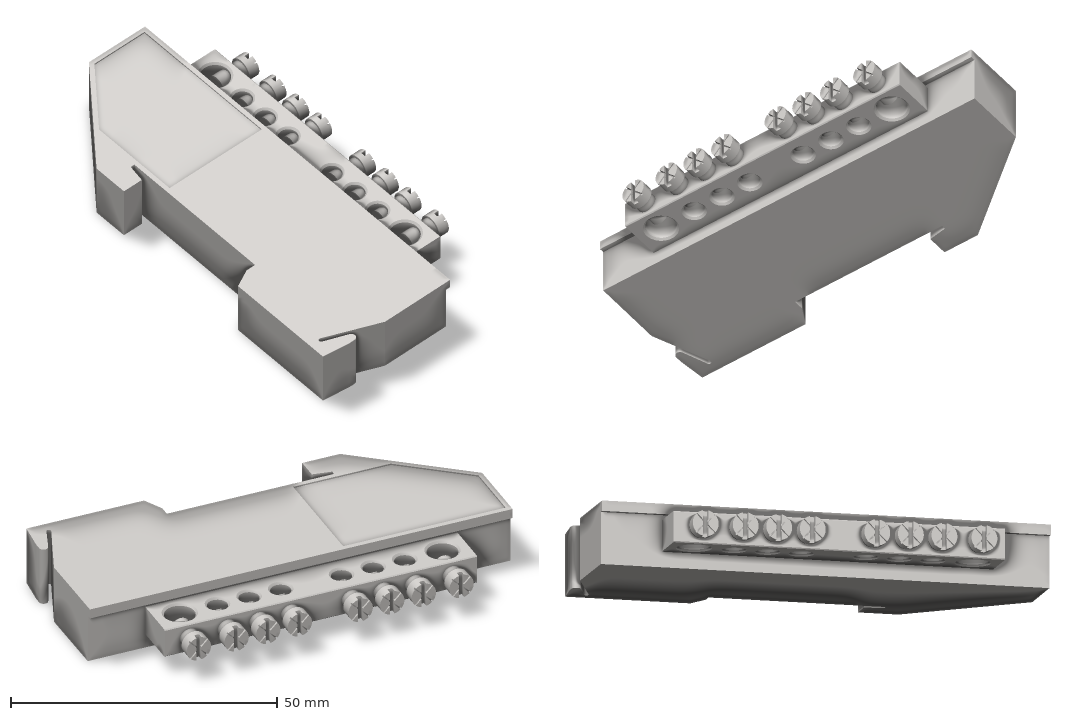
import cadquery as cq
import math


LENGTH = 87.0
THICKNESS = 12.0
MID_Z = THICKNESS / 2
HOUSING_TOP = 31.0
LIP_HEIGHT = 1.0
LIP_THICKNESS = 2.0
SEAT_Y = HOUSING_TOP - LIP_HEIGHT
BEVEL_TOP = 17.0
BEVEL_RUN = 21.6

RAIL_FACE_Y = 6.0
HOOK_RIGHT = 29.4
HOOK_TOP = 4.45
HOOK_THROAT_X = 25.5
HOOK_THROAT_Y = 5.1
RAIL_STOP_X = 59.9
RAIL_STOP_Y = 3.9
FOOT_LEFT = 61.9
FOOT_RIGHT = 86.1

TONGUE_SIDE_X = 86.75
TONGUE_KNEE_Y = 6.0
TONGUE_SHOULDER_Y = 7.3
TONGUE_TIP_RADIUS = 0.9
SLOT_WIDTH = 0.9
SLOT_ANGLE = math.radians(68.2)
SLOT_LENGTH = 12.9
END_TOP_X = 86.9
END_BEND_Y = 14.7

LABEL_MARGIN = 1.0
LABEL_RIGHT = 34.4
LABEL_DEPTH = 0.3

BAR_LEFT = 10.9
BAR_LENGTH = 64.2
BAR_CENTRE_X = BAR_LEFT + BAR_LENGTH / 2
BAR_TOP = 39.0
BAR_THICKNESS = 6.0
BAR_CHAMFER = 0.2
WIRE_HOLE_Y = 34.5
SMALL_HOLE_DIAMETER = 4.0
LARGE_HOLE_DIAMETER = 6.0
HOLE_CHAMFER = 0.4
SMALL_HOLE_OFFSETS = [6.25, 12.75, 19.25]
LARGE_HOLE_OFFSET = 27.0

SCREW_TOP = 43.3
HEAD_DIAMETER = 5.0
HEAD_HEIGHT = 2.4
SHANK_DIAMETER = 4.0
SHANK_END_Y = 34.85
DRIVE_SLOT_WIDTH = 1.0
DRIVE_SLOT_DEPTH = 1.1
STAR_GROOVE_WIDTH = 0.3
STAR_GROOVE_DEPTH = 0.5

small_hole_xs = [BAR_CENTRE_X + side * offset for side in (-1, 1) for offset in SMALL_HOLE_OFFSETS]
large_hole_xs = [BAR_CENTRE_X + side * LARGE_HOLE_OFFSET for side in (-1, 1)]
screw_xs = small_hole_xs + large_hole_xs


def housing_outline():
    """Side profile of the housing, with the rail hook on the left and the spring tongue on the right."""
    along = (math.cos(SLOT_ANGLE), math.sin(SLOT_ANGLE))
    across = (along[1], -along[0])
    slot_left = (LENGTH - SLOT_LENGTH * along[0], END_BEND_Y - SLOT_LENGTH * along[1])
    slot_right = (slot_left[0] + SLOT_WIDTH * across[0], slot_left[1] + SLOT_WIDTH * across[1])
    slot_end = (
        (slot_left[0] + slot_right[0] - SLOT_WIDTH * along[0]) / 2,
        (slot_left[1] + slot_right[1] - SLOT_WIDTH * along[1]) / 2,
    )
    tip_centre = (TONGUE_SIDE_X - TONGUE_TIP_RADIUS, TONGUE_SHOULDER_Y)
    tip_left = (
        tip_centre[0] - TONGUE_TIP_RADIUS * across[0],
        tip_centre[1] - TONGUE_TIP_RADIUS * across[1],
    )
    tip_top = (tip_centre[0], tip_centre[1] + TONGUE_TIP_RADIUS)
    return (
        cq.Workplane("XY")
        .moveTo(0, HOUSING_TOP)
        .lineTo(0, BEVEL_TOP)
        .lineTo(BEVEL_RUN, 0)
        .lineTo(HOOK_RIGHT, 0)
        .lineTo(HOOK_RIGHT, HOOK_TOP)
        .lineTo(HOOK_THROAT_X, HOOK_THROAT_Y)
        .lineTo(HOOK_THROAT_X, RAIL_FACE_Y)
        .lineTo(RAIL_STOP_X, RAIL_FACE_Y)
        .lineTo(RAIL_STOP_X, RAIL_STOP_Y)
        .lineTo(FOOT_LEFT, 0)
        .lineTo(FOOT_RIGHT, 0)
        .lineTo(TONGUE_SIDE_X, TONGUE_KNEE_Y)
        .lineTo(TONGUE_SIDE_X, TONGUE_SHOULDER_Y)
        .threePointArc(tip_top, tip_left)
        .lineTo(*slot_right)
        .threePointArc(slot_end, slot_left)
        .lineTo(LENGTH, END_BEND_Y)
        .lineTo(END_TOP_X, HOUSING_TOP)
        .close()
    )


def label_recess():
    """Shallow panel that keeps an even margin to the left side, bevel, top edge and rail face."""
    bevel_slope = BEVEL_TOP / BEVEL_RUN
    bevel_shift = LABEL_MARGIN * math.hypot(1, bevel_slope)
    bottom = RAIL_FACE_Y + LABEL_MARGIN
    top = HOUSING_TOP - LABEL_MARGIN
    corner_y = BEVEL_TOP + bevel_shift - bevel_slope * LABEL_MARGIN
    corner_x = (BEVEL_TOP + bevel_shift - bottom) / bevel_slope
    return (
        cq.Workplane("XY", origin=(0, 0, THICKNESS - LABEL_DEPTH))
        .moveTo(LABEL_MARGIN, top)
        .lineTo(LABEL_MARGIN, corner_y)
        .lineTo(corner_x, bottom)
        .lineTo(LABEL_RIGHT, bottom)
        .lineTo(LABEL_RIGHT, top)
        .close()
        .extrude(LABEL_DEPTH)
    )


def make_housing():
    below_lip = cq.Workplane("XY").box(
        LENGTH, LIP_HEIGHT, THICKNESS - LIP_THICKNESS, centered=False
    ).translate((0, SEAT_Y, 0))
    return housing_outline().extrude(THICKNESS).cut(below_lip).cut(label_recess())


def wire_hole(x, diameter):
    """Cutter for a through hole along Z, chamfered at both faces of the busbar."""
    radius = diameter / 2
    mouth = radius + HOLE_CHAMFER
    half = BAR_THICKNESS / 2
    return (
        cq.Workplane("XZ")
        .polyline([
            (0, -half),
            (mouth, -half),
            (radius, HOLE_CHAMFER - half),
            (radius, half - HOLE_CHAMFER),
            (mouth, half),
            (0, half),
        ])
        .close()
        .revolve(360, (0, 0), (0, 1))
        .translate((x, WIRE_HOLE_Y, MID_Z))
    )


def cylinder_along_y(x, diameter, start_y, end_y):
    return (
        cq.Workplane("XZ", origin=(x, start_y, MID_Z))
        .circle(diameter / 2)
        .extrude(start_y - end_y)
    )


def screw_shank(x):
    return cylinder_along_y(x, SHANK_DIAMETER, SHANK_END_Y, SCREW_TOP - HEAD_HEIGHT)


def make_busbar():
    bar = (
        cq.Workplane("XY")
        .box(BAR_LENGTH, BAR_TOP - SEAT_Y, BAR_THICKNESS)
        .faces(">Y")
        .edges("|X")
        .chamfer(BAR_CHAMFER)
        .translate((BAR_CENTRE_X, (SEAT_Y + BAR_TOP) / 2, MID_Z))
    )
    for x in small_hole_xs:
        bar = bar.cut(wire_hole(x, SMALL_HOLE_DIAMETER))
    for x in large_hole_xs:
        bar = bar.cut(wire_hole(x, LARGE_HOLE_DIAMETER))
    for x in screw_xs:
        bar = bar.cut(screw_shank(x))
    return bar


def head_groove(x, width, depth, angle):
    """Groove across the whole screw head; at zero angle it runs along Z."""
    return (
        cq.Workplane("XY")
        .box(width, depth, 2 * HEAD_DIAMETER)
        .rotate((0, 0, 0), (0, 1, 0), angle)
        .translate((x, SCREW_TOP - depth / 2, MID_Z))
    )


def make_screw(x):
    head = cylinder_along_y(x, HEAD_DIAMETER, SCREW_TOP - HEAD_HEIGHT, SCREW_TOP)
    screw = head.union(screw_shank(x))
    screw = screw.cut(head_groove(x, DRIVE_SLOT_WIDTH, DRIVE_SLOT_DEPTH, 0))
    for angle in (-45, 45):
        screw = screw.cut(head_groove(x, STAR_GROOVE_WIDTH, STAR_GROOVE_DEPTH, angle))
    return screw


housing = make_housing()
busbar = make_busbar()
screws = [make_screw(x) for x in screw_xs]

result = cq.Compound.makeCompound(
    [housing.val(), busbar.val()] + [screw.val() for screw in screws]
)